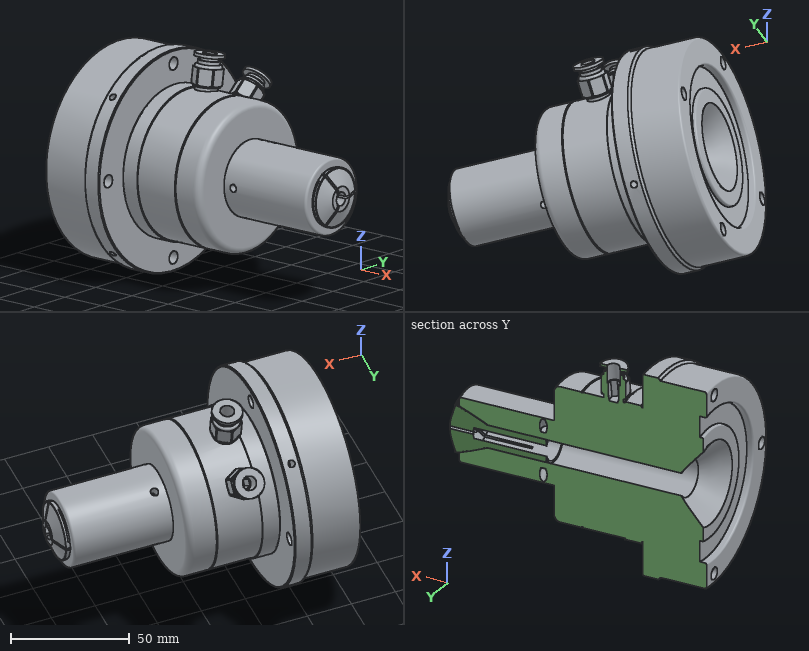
import cadquery as cq
import math

TOTAL_LENGTH = 123.1

FLANGE_DIAMETER = 94.7
FLANGE_LENGTH = 22.0
FLANGE_FILLET = 1.1
RECESS_DIAMETER = 70.2
RECESS_DEPTH = 3.2
RECESS_FILLET = 1.0
HUB_DIAMETER = 51.2
HUB_FILLET = 0.7
HUB_FACE = 1.6
BOLT_CIRCLE_DIAMETER = 84.7
BOLT_HOLE_DIAMETER = 5.5
BOLT_HOLE_COUNT = 4

COLLAR_DIAMETER = 96.9
COLLAR_START = 23.1
COLLAR_END = 30.7
COLLAR_EDGE_CHAMFER = 0.5
SET_HOLE_X = 26.2
SET_HOLE_DIAMETER = 3.0
SET_HOLE_DEPTH = 7.4
SET_HOLE_COUNT = 4

SHOULDER_DIAMETER = 67.0
SHOULDER_CHAMFER_LENGTH = 0.6
SHOULDER_CHAMFER_HEIGHT = 1.1
SHOULDER_END = 39.0
BODY_DIAMETER = 66.0
BODY_END = 72.9
BODY_FILLET = 3.1
JOINT_GROOVE_X = 59.3
JOINT_GROOVE_WIDTH = 0.4
JOINT_GROOVE_DEPTH = 0.4

NOSE_DIAMETER = 33.7
NOSE_END = 118.0
NOSE_FILLET = 1.1
NOSE_HOLE_X = 77.9
NOSE_HOLE_DIAMETER = 3.3
NOSE_HOLE_DEPTH = 6.2
NOSE_HOLE_COUNT = 3

FUNNEL_DIAMETER = 38.2
FUNNEL_LENGTH = 10.5
BORE_DIAMETER = 16.9

COLLET_REAR = 76.3
COLLET_REAR_CHAMFER = 0.5
COLLET_HEAD_DIAMETER = 26.0
COLLET_TAPER_START = 104.6
COLLET_TAPER_END = 118.9
COLLET_CONE_START = 120.0
COLLET_CONE_DIAMETER = 25.1
COLLET_FACE_DIAMETER = 10.8
COLLET_REAR_BORE = 14.0
COLLET_GRIP_BORE = 5.9
COLLET_GRIP_START = 113.3
COLLET_GRIP_CONE_LENGTH = 2.3
SLIT_WIDTH = 1.0
SLIT_START = 88.6
SLIT_COUNT = 3

FITTING_PLACES = [(44.5, 8.8), (46.3, 48.8)]
SPIGOT_BOTTOM = 30.8
SPIGOT_DIAMETER = 10.0
WASHER_BOTTOM = 34.2
WASHER_DIAMETER = 11.6
HEX_BOTTOM = 34.8
HEX_TOP = 42.3
HEX_ACROSS_FLATS = 11.8
HEX_CORNER_DIAMETER = 13.3
HEX_CHAMFER = 0.5
NUT_SHOULDER_TOP = 43.8
NUT_SHOULDER_FILLET = 1.1
RING_DIAMETER = 9.5
RING_TOP = 45.4
NECK_DIAMETER = 8.0
CAP_DIAMETER = 13.2
CAP_BOTTOM = 47.0
CAP_TOP = 48.5
TUBE_BORE_DIAMETER = 6.0
TUBE_BORE_BOTTOM = 40.3
SOCKET_ACROSS_FLATS = 4.8
SOCKET_BOTTOM = 32.0


def turned(points):
    """Solid of revolution about X from (x, radius) points."""
    return cq.Workplane("XY").polyline(points).close().revolve(360, (0, 0, 0), (1, 0, 0))


def cylinder_along_z(diameter, bottom, top):
    return cq.Workplane("XY").workplane(offset=bottom).circle(diameter / 2).extrude(top - bottom)


def hexagon_along_z(across_flats, bottom, top):
    """Hexagonal prism with two flats facing +X and -X."""
    corner_diameter = across_flats / math.cos(math.pi / 6)
    prism = cq.Workplane("XY").workplane(offset=bottom).polygon(6, corner_diameter).extrude(top - bottom)
    return prism.rotate((0, 0, 0), (0, 0, 1), 30)


def place_radially(shape, x, angle):
    """Move a shape standing on the X axis along +Z to x, then tilt it from +Z towards +Y."""
    return shape.translate((x, 0, 0)).rotate((0, 0, 0), (1, 0, 0), -angle)


def radial_hole(x, angle, diameter, surface_diameter, depth):
    surface = surface_diameter / 2
    return place_radially(cylinder_along_z(diameter, surface - depth, surface + 1.2), x, angle)


def make_fitting():
    """Air fitting standing on the X axis along +Z, before it is put in place."""
    nut = hexagon_along_z(HEX_ACROSS_FLATS, HEX_BOTTOM, HEX_TOP)
    rounded_corners = (
        cylinder_along_z(HEX_CORNER_DIAMETER, HEX_BOTTOM, HEX_TOP)
        .faces("<Z")
        .chamfer(HEX_CHAMFER)
    )
    nut = nut.intersect(rounded_corners)
    nut_shoulder = (
        cylinder_along_z(HEX_ACROSS_FLATS, HEX_TOP, NUT_SHOULDER_TOP)
        .faces(">Z")
        .edges()
        .fillet(NUT_SHOULDER_FILLET)
    )
    return (
        nut.union(nut_shoulder)
        .union(cylinder_along_z(SPIGOT_DIAMETER, SPIGOT_BOTTOM, WASHER_BOTTOM))
        .union(cylinder_along_z(WASHER_DIAMETER, WASHER_BOTTOM, HEX_BOTTOM))
        .union(cylinder_along_z(RING_DIAMETER, NUT_SHOULDER_TOP, RING_TOP))
        .union(cylinder_along_z(NECK_DIAMETER, RING_TOP, CAP_BOTTOM))
        .union(cylinder_along_z(CAP_DIAMETER, CAP_BOTTOM, CAP_TOP))
    )


def make_fitting_bore():
    """Round tube bore with a hexagonal socket below it."""
    bore = cylinder_along_z(TUBE_BORE_DIAMETER, TUBE_BORE_BOTTOM, CAP_TOP)
    return bore.union(hexagon_along_z(SOCKET_ACROSS_FLATS, SOCKET_BOTTOM, TUBE_BORE_BOTTOM))


def make_housing_blank():
    """Outer shape of the housing, as one turned profile with its rounded edges."""
    flange = FLANGE_DIAMETER / 2
    collar = COLLAR_DIAMETER / 2
    shoulder = SHOULDER_DIAMETER / 2
    body = BODY_DIAMETER / 2
    nose = NOSE_DIAMETER / 2
    recess = RECESS_DIAMETER / 2
    hub = HUB_DIAMETER / 2
    groove_end = JOINT_GROOVE_X + JOINT_GROOVE_WIDTH
    outline = (
        cq.Workplane("XY")
        .moveTo(HUB_FACE, 0)
        .lineTo(HUB_FACE, hub - HUB_FILLET)
        .radiusArc((HUB_FACE + HUB_FILLET, hub), HUB_FILLET)
        .lineTo(RECESS_DEPTH, hub)
        .lineTo(RECESS_DEPTH, recess)
        .lineTo(RECESS_FILLET, recess)
        .radiusArc((0, recess + RECESS_FILLET), RECESS_FILLET)
        .lineTo(0, flange - FLANGE_FILLET)
        .radiusArc((FLANGE_FILLET, flange), FLANGE_FILLET)
        .lineTo(FLANGE_LENGTH, flange)
        .lineTo(COLLAR_START, collar)
        .lineTo(COLLAR_END - COLLAR_EDGE_CHAMFER, collar)
        .lineTo(COLLAR_END, collar - COLLAR_EDGE_CHAMFER)
        .lineTo(COLLAR_END, shoulder - SHOULDER_CHAMFER_HEIGHT)
        .lineTo(COLLAR_END + SHOULDER_CHAMFER_LENGTH, shoulder)
        .lineTo(SHOULDER_END, shoulder)
        .lineTo(SHOULDER_END, body)
        .lineTo(JOINT_GROOVE_X, body)
        .lineTo(JOINT_GROOVE_X, body - JOINT_GROOVE_DEPTH)
        .lineTo(groove_end, body - JOINT_GROOVE_DEPTH)
        .lineTo(groove_end, body)
        .lineTo(BODY_END - BODY_FILLET, body)
        .radiusArc((BODY_END, body - BODY_FILLET), BODY_FILLET)
        .lineTo(BODY_END, nose)
        .lineTo(NOSE_END - NOSE_FILLET, nose)
        .radiusArc((NOSE_END, nose - NOSE_FILLET), NOSE_FILLET)
        .lineTo(NOSE_END, 0)
        .close()
    )
    return outline.revolve(360, (0, 0, 0), (1, 0, 0))


def make_bore():
    """Funnel, straight bore and the taper that seats the collet head."""
    funnel = FUNNEL_DIAMETER / 2
    bore = BORE_DIAMETER / 2
    head = COLLET_HEAD_DIAMETER / 2
    return turned([
        (HUB_FACE, 0),
        (HUB_FACE, funnel),
        (HUB_FACE + FUNNEL_LENGTH, bore),
        (COLLET_TAPER_START, bore),
        (COLLET_TAPER_END, head),
        (COLLET_TAPER_END, 0),
    ])


def make_housing():
    """Housing with both air fittings, the through bore and all drilled holes."""
    housing = make_housing_blank()
    fitting = make_fitting()
    for x, angle in FITTING_PLACES:
        housing = housing.union(place_radially(fitting, x, angle))

    fitting_bore = make_fitting_bore()
    for x, angle in FITTING_PLACES:
        housing = housing.cut(place_radially(fitting_bore, x, angle))

    housing = housing.cut(make_bore())
    bolt_holes = (
        cq.Workplane("YZ")
        .polarArray(BOLT_CIRCLE_DIAMETER / 2, 0, 360, BOLT_HOLE_COUNT)
        .circle(BOLT_HOLE_DIAMETER / 2)
        .extrude(COLLAR_END)
    )
    housing = housing.cut(bolt_holes)

    for i in range(SET_HOLE_COUNT):
        angle = 45 + i * 360 / SET_HOLE_COUNT
        hole = radial_hole(SET_HOLE_X, angle, SET_HOLE_DIAMETER, COLLAR_DIAMETER, SET_HOLE_DEPTH)
        housing = housing.cut(hole)

    for i in range(NOSE_HOLE_COUNT):
        angle = 30 + i * 360 / NOSE_HOLE_COUNT
        hole = radial_hole(NOSE_HOLE_X, angle, NOSE_HOLE_DIAMETER, NOSE_DIAMETER, NOSE_HOLE_DEPTH)
        housing = housing.cut(hole)
    return housing


def make_collet():
    """Slit collet with a tapered head, a conical tip and a stepped bore."""
    shank = BORE_DIAMETER / 2
    head = COLLET_HEAD_DIAMETER / 2
    rear_bore = COLLET_REAR_BORE / 2
    grip = COLLET_GRIP_BORE / 2
    collet = turned([
        (COLLET_REAR, rear_bore),
        (COLLET_REAR, shank - COLLET_REAR_CHAMFER),
        (COLLET_REAR + COLLET_REAR_CHAMFER, shank),
        (COLLET_TAPER_START, shank),
        (COLLET_TAPER_END, head),
        (COLLET_CONE_START, head),
        (COLLET_CONE_START, COLLET_CONE_DIAMETER / 2),
        (TOTAL_LENGTH, COLLET_FACE_DIAMETER / 2),
        (TOTAL_LENGTH, grip),
        (COLLET_GRIP_START, grip),
        (COLLET_GRIP_START - COLLET_GRIP_CONE_LENGTH, rear_bore),
    ])
    slit_length = TOTAL_LENGTH - SLIT_START
    slit = cq.Workplane("XY").box(slit_length, SLIT_WIDTH, head, centered=(False, True, False))
    for i in range(SLIT_COUNT):
        angle = 90 + i * 360 / SLIT_COUNT
        collet = collet.cut(place_radially(slit, SLIT_START, angle))
    return collet


housing = make_housing()
collet = make_collet()
result = cq.Compound.makeCompound([housing.val(), collet.val()])